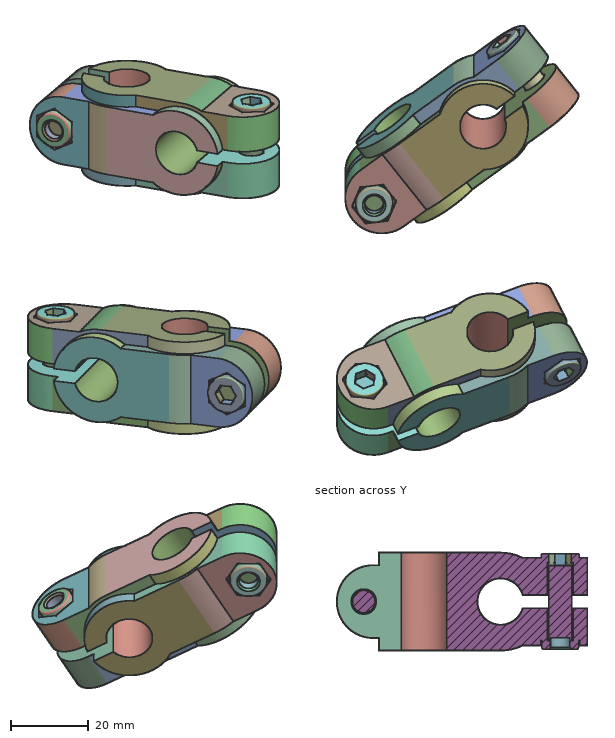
import cadquery as cq
import math

length = 65.0
bar_width = 19.0
ear_thickness = 22.9
body_thickness = 25.5
boss_diameter = 23.4
bore_diameter = 11.95
bore_offset = 10.0
slot_width = 3.4

bolt_offset = 25.5
shank_diameter = 6.0
shank_hole_diameter = 6.5
rise = 1.0
seat_flats = 10.0
seat_depth = 1.3
head_diameter = 9.9
head_edge_radius = 0.25
socket_flats = 4.95
socket_depth = 3.0
nut_diameter = 9.6
nut_edge_radius = 0.5
nut_bore_diameter = 4.95
nut_bore_chamfer = 0.5
nut_bore_depth = 3.0

end_center = (length - bar_width) / 2
ear_face = ear_thickness / 2
seat_floor = ear_face - seat_depth
fastener_height = seat_depth + rise


def cylinder(diameter, height, x):
    """Cylinder along Z, centred on Z = 0."""
    return cq.Workplane("XY").center(x, 0).circle(diameter / 2).extrude(height / 2, both=True)


def bar(x_start, x_stop, width, height):
    """Rectangular block from x_start to x_stop, centred on Y = 0 and Z = 0."""
    middle = (x_start + x_stop) / 2
    return cq.Workplane("XY").box(x_stop - x_start, width, height).translate((middle, 0, 0))


def hex_prism(across_flats, height, base, corner_angle):
    """Hexagonal prism on the bolt axis, rising from the given base height."""
    across_corners = across_flats / math.cos(math.pi / 6)
    prism = cq.Workplane("XY").polygon(6, across_corners).extrude(height)
    return prism.rotate((0, 0, 0), (0, 0, 1), corner_angle).translate((bolt_offset, 0, base))


def swap_clamps(shape):
    """Half turn about the line Y = Z, X = 0: exchanges the two clamps."""
    return shape.rotate((0, 0, 0), (0, 1, 1), 180)


def arm_outline():
    """Round boss about the left bore, straight web and rounded end at +X, at full height."""
    boss = cylinder(boss_diameter, body_thickness, -bore_offset)
    web = bar(-bore_offset, end_center, bar_width, body_thickness)
    rounded_end = cylinder(bar_width, body_thickness, end_center)
    return boss.union(web).union(rounded_end)


def thickness_envelope():
    """Full thickness up to the right bore, rounded down around it to the thinner ears."""
    thick = bar(-length / 2, bore_offset, body_thickness, body_thickness)
    ears = bar(bore_offset, length / 2, body_thickness, ear_thickness)
    shoulder = cq.Workplane("XZ").center(bore_offset, 0).circle(body_thickness / 2)
    shoulder = shoulder.extrude(body_thickness / 2, both=True)
    return thick.union(ears).union(shoulder)


def clamp_arm():
    """Arm with the left bore boss and the right pair of ears, still without cuts."""
    return arm_outline().intersect(thickness_envelope())


def clamp_cuts():
    """Bore along Y at the right, its slot, and the bolt hole with two hexagonal seats."""
    bore = swap_clamps(cylinder(bore_diameter, body_thickness, -bore_offset))
    slot = bar(bore_offset, length / 2, body_thickness, slot_width)
    shank_hole = cylinder(shank_hole_diameter, ear_thickness, bolt_offset)
    cuts = bore.union(slot).union(shank_hole)
    for base in (seat_floor, -ear_face):
        cuts = cuts.union(hex_prism(seat_flats, seat_depth, base, 90))
    return cuts


def fastener():
    """Socket-head bolt pointing down from +Z, with a round nut at -Z."""
    shank = cylinder(shank_diameter, 2 * seat_floor, bolt_offset)

    head = cq.Workplane("XY", origin=(bolt_offset, 0, seat_floor))
    head = head.circle(head_diameter / 2).extrude(fastener_height)
    head = head.faces(">Z").edges().fillet(head_edge_radius)
    socket_base = ear_face + rise - socket_depth
    socket = hex_prism(socket_flats, socket_depth, socket_base, 0)

    nut = cq.Workplane("XY", origin=(bolt_offset, 0, -seat_floor))
    nut = nut.circle(nut_diameter / 2).extrude(-fastener_height)
    nut = nut.faces("<Z").edges().fillet(nut_edge_radius)
    nut_bore = cq.Workplane("XY", origin=(bolt_offset, 0, -ear_face - rise))
    nut_bore = nut_bore.circle(nut_bore_diameter / 2).extrude(nut_bore_depth)
    countersink = cq.Workplane("XY", origin=(bolt_offset, 0, -ear_face - rise))
    countersink = countersink.circle(nut_bore_diameter / 2 + nut_bore_chamfer)
    countersink = countersink.extrude(nut_bore_chamfer, taper=45)

    return shank.union(head).union(nut).cut(socket).cut(nut_bore).cut(countersink)


body = clamp_arm().union(swap_clamps(clamp_arm()))
body = body.cut(clamp_cuts()).cut(swap_clamps(clamp_cuts()))
result = body.union(fastener()).union(swap_clamps(fastener()))